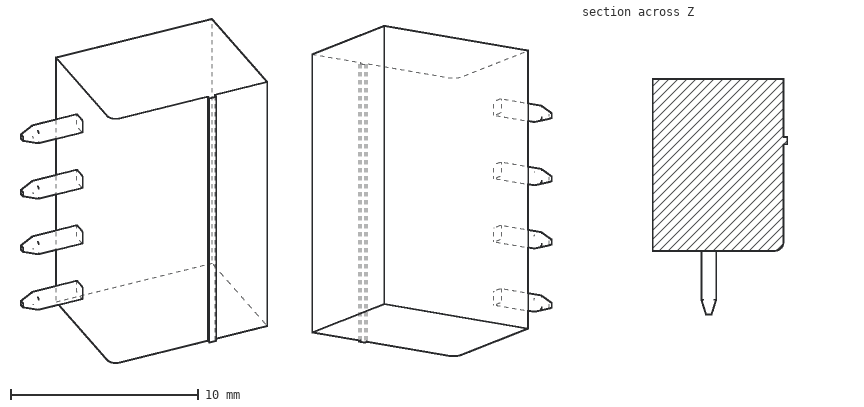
import cadquery as cq

housing_width = 7.0
housing_depth = 9.2
housing_height = 15.4
corner_radius = 0.5

rib_projection = 0.2
rib_width = 0.4
rib_from_pin_face = 5.9

pin_count = 4
pin_pitch = 3.5
pin_from_side = 3.0
pin_width = 0.8
pin_height = 0.78
pin_corner_radius = 0.1
pin_shank_length = 2.6
pin_tip_length = 0.8
pin_tip_inset = 0.25
pin_tip_corner_radius = 0.04


def make_housing():
    """Block with the edge between its pin face and +X side rounded."""
    block = cq.Workplane("XY").box(
        housing_width, housing_depth, housing_height, centered=(False, False, True)
    )
    return block.edges("|Z and >X and <Y").fillet(corner_radius)


def make_rib():
    rib = cq.Workplane("XY").box(
        rib_projection, rib_width, housing_height, centered=(False, True, True)
    )
    return rib.translate((housing_width, rib_from_pin_face, 0))


def pin_outline(width, height, corner_radius):
    return cq.Sketch().rect(width, height).vertices().fillet(corner_radius)


def make_pin():
    """Rounded square shank with a tapered tip, starting at the pin face."""
    tip_width = pin_width - 2 * pin_tip_inset
    tip_height = pin_height - 2 * pin_tip_inset
    shank_outline = pin_outline(pin_width, pin_height, pin_corner_radius)
    tip_outline = pin_outline(tip_width, tip_height, pin_tip_corner_radius)
    tip_offset = cq.Location(cq.Vector(0, 0, pin_tip_length))

    shank = cq.Workplane("XZ").placeSketch(shank_outline).extrude(pin_shank_length)
    tip = (
        cq.Workplane("XZ", origin=(0, -pin_shank_length, 0))
        .placeSketch(shank_outline, tip_outline.moved(tip_offset))
        .loft(ruled=True)
    )
    return shank.union(tip)


result = make_housing().union(make_rib())
pin = make_pin()
for index in range(pin_count):
    pin_z = (index - (pin_count - 1) / 2) * pin_pitch
    result = result.union(pin.translate((pin_from_side, 0, pin_z)))